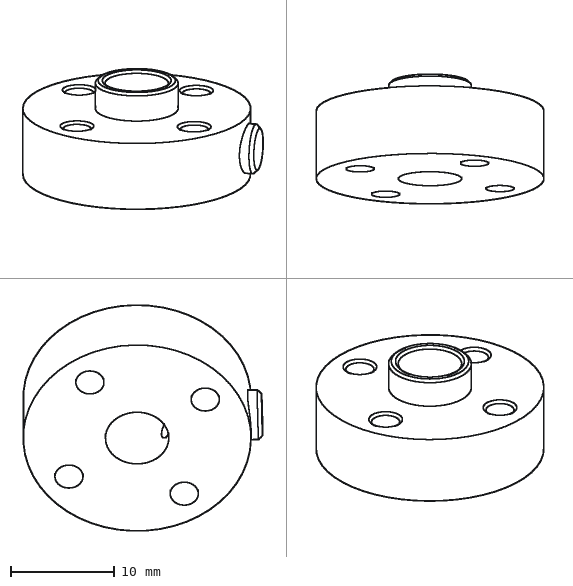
import cadquery as cq

disc_diameter = 22.0
disc_height = 6.69
boss_diameter = 8.0
total_height = 9.5
bore_diameter = 6.1
edge_chamfer = 0.27
countersink_angle = 90

mount_hole_diameter = 2.7
mount_circle_diameter = 16.0
mount_hole_count = 4

screw_diameter = 4.82
screw_face_diameter = 4.05
screw_angle = 33.0
screw_axis_height = 3.42
screw_outer_radius = 12.07
screw_length = 5.0
screw_inner_radius = screw_outer_radius - screw_length
tip_hole_diameter = 4.05
screw_chamfer = (screw_diameter - screw_face_diameter) / 2


def radial_cylinder(diameter, start, length):
    """Cylinder along +X at the screw axis height, before it is turned to the screw angle."""
    base = cq.Workplane("YZ", origin=(start, 0, screw_axis_height))
    return base.circle(diameter / 2).extrude(length)


def turn_to_screw_angle(body):
    return body.rotate((0, 0, 0), (0, 0, 1), screw_angle)


def make_hub():
    hub = cq.Workplane("XY").circle(disc_diameter / 2).extrude(disc_height)
    boss = cq.Workplane("XY").circle(boss_diameter / 2).extrude(total_height)
    hub = hub.union(boss.faces(">Z").chamfer(edge_chamfer))

    hub = (
        hub.faces(">Z").workplane()
        .cskHole(bore_diameter, bore_diameter + 2 * edge_chamfer, countersink_angle)
    )
    hub = (
        hub.copyWorkplane(cq.Workplane("XY", origin=(0, 0, disc_height)))
        .polarArray(mount_circle_diameter / 2, 0, 360, mount_hole_count)
        .cskHole(mount_hole_diameter, mount_hole_diameter + 2 * edge_chamfer, countersink_angle)
    )

    tip_hole = radial_cylinder(tip_hole_diameter, 0, screw_inner_radius)
    screw_hole = radial_cylinder(screw_diameter, screw_inner_radius, disc_diameter)
    return hub.cut(turn_to_screw_angle(tip_hole.union(screw_hole)))


def make_set_screw():
    screw = radial_cylinder(screw_diameter, screw_inner_radius, screw_length)
    return turn_to_screw_angle(screw.faces(">X").chamfer(screw_chamfer))


hub = make_hub()
set_screw = make_set_screw()
result = cq.Compound.makeCompound([hub.val(), set_screw.val()])